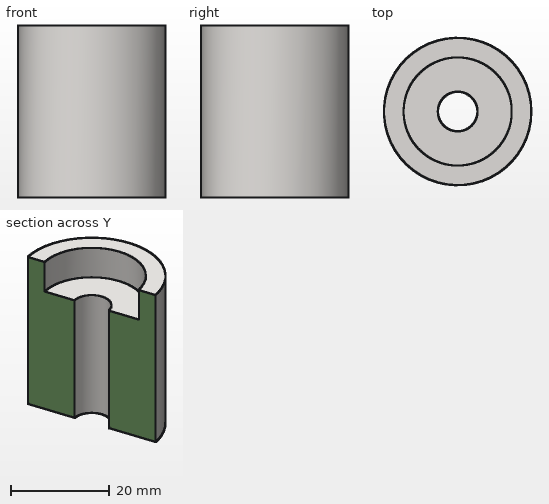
import cadquery as cq

body_diameter = 30.0
body_height = 35.0
recess_diameter = 22.0
recess_depth = 7.0
bore_diameter = 8.0


def make_body():
    """Plain cylinder standing on the XY plane."""
    return cq.Workplane("XY").circle(body_diameter / 2).extrude(body_height)


def cut_stepped_bore(body):
    """Through bore with a wide flat-bottomed recess at the top end."""
    return body.faces(">Z").workplane().cboreHole(bore_diameter, recess_diameter, recess_depth)


result = cut_stepped_bore(make_body())